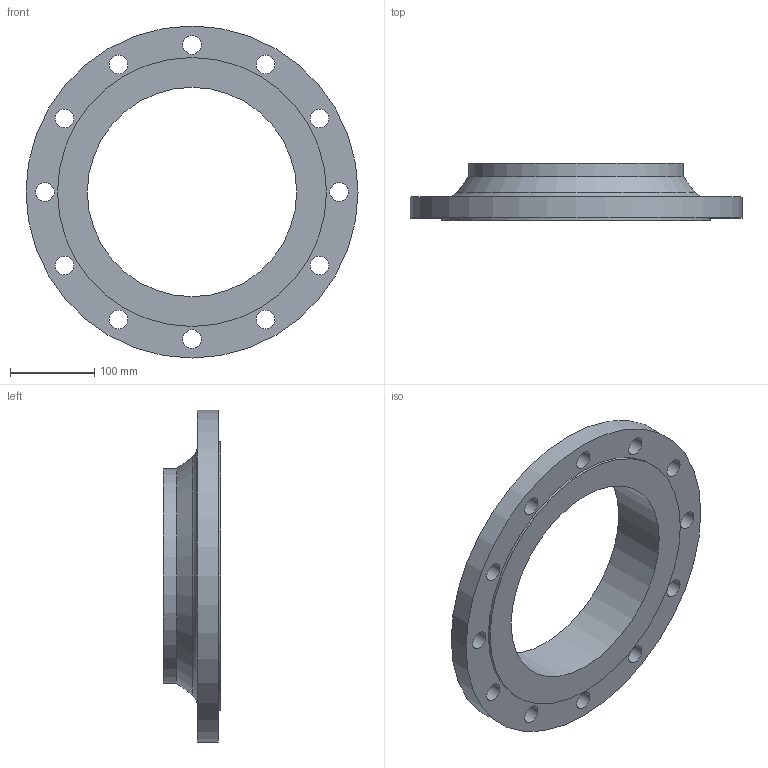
import cadquery as cq
import math


flange_diameter = 395.0
flange_thickness = 28.0
raised_face_diameter = 320.0
raised_face_height = 3.0

overall_length = 68.0
bore_diameter = 249.0
pipe_diameter = 256.0
pipe_end_length = 16.0
hub_diameter = 292.0
hub_fillet_radius = 14.0

bolt_count = 12
bolt_circle_diameter = 350.0
bolt_hole_diameter = 22.0

flange_radius = flange_diameter / 2
raised_face_radius = raised_face_diameter / 2
bore_radius = bore_diameter / 2
pipe_radius = pipe_diameter / 2
hub_radius = hub_diameter / 2
taper_end = overall_length - pipe_end_length

taper_angle = math.atan2(taper_end - flange_thickness, hub_radius - pipe_radius)


def hub_fillet_point(angle):
    """Point on the hub fillet, at an angle swept from its tangent point on the plate."""
    center_radius = hub_radius + hub_fillet_radius * math.tan(taper_angle / 2)
    center_y = flange_thickness + hub_fillet_radius
    return (
        center_radius - hub_fillet_radius * math.sin(angle),
        center_y - hub_fillet_radius * math.cos(angle),
    )


def flange_body():
    """Half section (radius along X, length along Y) revolved about the Y axis."""
    section = (
        cq.Workplane("XY")
        .moveTo(bore_radius, 0)
        .lineTo(raised_face_radius, 0)
        .lineTo(raised_face_radius, raised_face_height)
        .lineTo(flange_radius, raised_face_height)
        .lineTo(flange_radius, flange_thickness)
        .lineTo(*hub_fillet_point(0))
        .threePointArc(hub_fillet_point(taper_angle / 2), hub_fillet_point(taper_angle))
        .lineTo(pipe_radius, taper_end)
        .lineTo(pipe_radius, overall_length)
        .lineTo(bore_radius, overall_length)
        .close()
    )
    return section.revolve(360, (0, 0, 0), (0, 1, 0))


def bolt_holes():
    """Cylinders through the plate, evenly spaced on the bolt circle."""
    return (
        cq.Workplane("XZ")
        .polarArray(bolt_circle_diameter / 2, 0, 360, bolt_count)
        .circle(bolt_hole_diameter / 2)
        .extrude(-flange_thickness)
    )


result = flange_body().cut(bolt_holes())